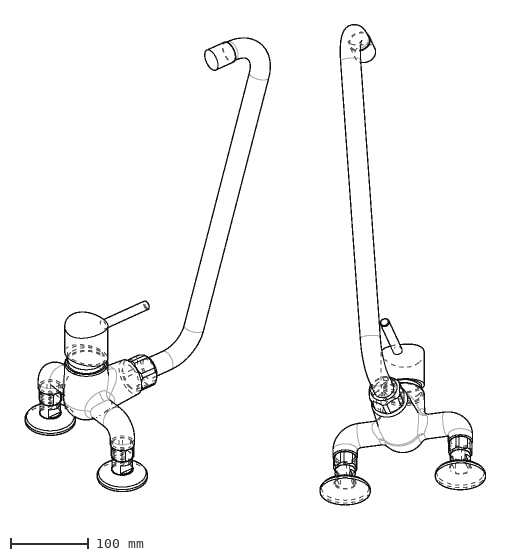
import cadquery as cq
import math

total_width = 218.0
total_depth = 328.0
total_height = 546.5
leg_spacing = 153.0
leg_x = leg_spacing / 2
arm_z = 82.5

foot_radius = (total_width - leg_spacing) / 2
foot_rim_height = 3.5
foot_edge_radius = 30.5
foot_edge_z = 6.0
foot_top_radius = 14.0
foot_top_z = 12.5
stem_radius = 13.0
stem_flat_x = 9.0
stem_flat_bottom_z = 14.0
stem_flat_top_z = 27.0
leg_nut_bottom_z = 33.0
leg_nut_top_z = 53.5
leg_nut_radius = 15.5
leg_nut_flat = 14.0
leg_nut_chamfer = 3.0
arm_radius = 16.0
elbow_bend_radius = 19.5
arm_end_x = leg_x - elbow_bend_radius

body_radius = 29.5
body_top_radius = 28.0
body_top_z = 138.5
body_top_chamfer = 1.5
collar_radius = 24.0
collar_top_z = 144.5
outlet_root_radius = 29.0
outlet_end_radius = 24.0
outlet_end_y = 71.5
outlet_fillet = 17.5
arm_fillet = 10.0

handle_radius = body_top_radius
handle_low_z = 142.5
handle_high_z = 156.5
handle_edge_z = 195.0
handle_crown_z = 200.0
lever_radius = 6.0
lever_z = 186.5
lever_tip_y = 98.5
lever_chamfer = 1.0

tube_radius = 13.0
tube_bend_radius = 46.0
lower_bend_y = 130.5
outlet_nut_end_y = 101.5
outlet_nut_radius = 22.0
outlet_nut_flat = 20.0
outlet_nut_chamfer = 4.5
aerator_radius = 14.0
aerator_tip_y = 203.0
aerator_length = 29.0
spout_top_z = total_height - aerator_radius
upper_bend_y = total_depth - foot_radius - tube_radius - tube_bend_radius


def cylinder_y(radius, start_y, end_y, z):
    """Solid cylinder along Y between two Y positions at the given height."""
    return (
        cq.Workplane("XZ", origin=(0, start_y, z))
        .circle(radius)
        .extrude(start_y - end_y)
    )


def nut(radius, flat, length, chamfer):
    """Round bar along Z with six flats, one facing +X, and chamfered ends."""
    bar = cq.Workplane("XY").circle(radius).extrude(length).faces("<Z or >Z").chamfer(chamfer)
    hexagon = (
        cq.Workplane("XY")
        .polygon(6, 2 * flat, circumscribed=True)
        .extrude(length)
    )
    return bar.intersect(hexagon)


def elbow():
    """Quarter bend from the end of the +X arm down to the top of the leg nut."""
    bend_z = arm_z - elbow_bend_radius
    middle = elbow_bend_radius * math.sqrt(0.5)
    path = (
        cq.Workplane("XZ")
        .moveTo(arm_end_x, arm_z)
        .threePointArc((arm_end_x + middle, bend_z + middle), (leg_x, bend_z))
        .lineTo(leg_x, leg_nut_top_z)
    )
    return cq.Workplane("YZ", origin=(arm_end_x, 0, arm_z)).circle(arm_radius).sweep(path)


def leg_base():
    """Foot, flatted stem and nut, centred on the Z axis."""
    foot = (
        cq.Workplane("XZ")
        .polyline([
            (0, 0),
            (foot_radius, 0),
            (foot_radius, foot_rim_height),
            (foot_edge_radius, foot_edge_z),
            (foot_top_radius, foot_top_z),
            (0, foot_top_z),
        ])
        .close()
        .revolve(360, (0, 0), (0, 1))
    )
    stem = (
        cq.Workplane("XY", origin=(0, 0, foot_top_z))
        .circle(stem_radius)
        .extrude(leg_nut_bottom_z - foot_top_z)
    )
    flat_height = stem_flat_top_z - stem_flat_bottom_z
    blank = 3 * stem_radius
    flat_cuts = (
        cq.Workplane("XY", origin=(0, 0, stem_flat_bottom_z))
        .rect(blank, blank)
        .rect(2 * stem_flat_x, blank)
        .extrude(flat_height)
    )
    leg_nut = nut(leg_nut_radius, leg_nut_flat, leg_nut_top_z - leg_nut_bottom_z, leg_nut_chamfer)
    return foot.union(stem.cut(flat_cuts)).union(leg_nut.translate((0, 0, leg_nut_bottom_z)))


def barrel():
    """Tapered upright barrel with a rounded bottom and a narrower collar on top."""
    middle = body_radius * math.sqrt(0.5)
    return (
        cq.Workplane("XZ")
        .moveTo(0, arm_z - body_radius)
        .threePointArc((middle, arm_z - middle), (body_radius, arm_z))
        .lineTo(body_top_radius, body_top_z - body_top_chamfer)
        .lineTo(body_top_radius - body_top_chamfer, body_top_z)
        .lineTo(collar_radius, body_top_z)
        .lineTo(collar_radius, collar_top_z)
        .lineTo(0, collar_top_z)
        .close()
        .revolve(360, (0, 0), (0, 1))
        .rotate((0, 0, 0), (0, 0, 1), -90)
    )


def outlet_cone():
    """Tapered outlet branch from the valve axis towards +Y."""
    return (
        cq.Workplane("YZ")
        .polyline([
            (0, 0),
            (0, outlet_root_radius),
            (outlet_end_y, outlet_end_radius),
            (outlet_end_y, 0),
        ])
        .close()
        .revolve(360, (0, 0), (1, 0))
        .translate((0, 0, arm_z))
    )


def straight_arms():
    """One bar along X that forms both arms."""
    return cq.Workplane("ZY", origin=(arm_end_x, 0, arm_z)).circle(arm_radius).extrude(2 * arm_end_x)


def intersection_edges(shape):
    """Curved edges, other than plain circles, where two round walls meet."""
    return [edge for edge in shape.edges().vals() if edge.geomType() == "BSPLINE"]


def lies_on_arm(edge):
    """True if both ends of the edge lie on the round wall of the arms."""
    tolerance = 0.05
    distances = [math.hypot(point.y, point.z - arm_z) for point in (edge.startPoint(), edge.endPoint())]
    return all(abs(distance - arm_radius) < tolerance for distance in distances)


def make_body():
    body = barrel().union(outlet_cone())
    body = body.newObject(intersection_edges(body)).fillet(outlet_fillet)

    body = body.union(straight_arms())
    arm_joints = [edge for edge in intersection_edges(body) if lies_on_arm(edge)]
    body = body.newObject(arm_joints).fillet(arm_fillet)

    right_elbow = elbow()
    body = body.union(right_elbow).union(right_elbow.mirror("YZ"))
    for x in (-leg_x, leg_x):
        body = body.union(leg_base().translate((x, 0, 0)))
    return body


def make_handle():
    outline = (
        cq.Workplane("YZ")
        .moveTo(-handle_radius, handle_high_z)
        .lineTo(handle_radius, handle_low_z)
        .lineTo(handle_radius, handle_edge_z)
        .threePointArc((0, handle_crown_z), (-handle_radius, handle_edge_z))
        .close()
        .extrude(handle_radius, both=True)
    )
    cap = cq.Workplane("XY").circle(handle_radius).extrude(handle_crown_z).intersect(outline)
    core = (
        cq.Workplane("XY", origin=(0, 0, collar_top_z))
        .circle(collar_radius)
        .extrude(handle_high_z - collar_top_z)
    )
    collar_recess = cq.Workplane("XY").circle(collar_radius).extrude(collar_top_z)
    lever = cylinder_y(lever_radius, 0, lever_tip_y, lever_z).faces(">Y").chamfer(lever_chamfer)
    return cap.union(core).cut(collar_recess).union(lever)


def spout_tube():
    """Level tube, bend up, long leaning run, then bend back to level towards -Y."""
    lower_centre = (lower_bend_y, arm_z + tube_bend_radius)
    upper_centre = (upper_bend_y, spout_top_z - tube_bend_radius)
    lean = math.atan2(upper_centre[0] - lower_centre[0], upper_centre[1] - lower_centre[1])

    def on_bend(centre, angle):
        return (
            centre[0] + tube_bend_radius * math.cos(angle),
            centre[1] + tube_bend_radius * math.sin(angle),
        )

    quarter = math.pi / 2
    path = (
        cq.Workplane("YZ")
        .moveTo(outlet_end_y, arm_z)
        .lineTo(lower_bend_y, arm_z)
        .threePointArc(on_bend(lower_centre, (-quarter - lean) / 2), on_bend(lower_centre, -lean))
        .lineTo(*on_bend(upper_centre, -lean))
        .threePointArc(on_bend(upper_centre, (quarter - lean) / 2), on_bend(upper_centre, quarter))
        .lineTo(aerator_tip_y, spout_top_z)
    )
    return cq.Workplane("XZ", origin=(0, outlet_end_y, arm_z)).circle(tube_radius).sweep(path)


def make_spout():
    outlet_nut = (
        nut(outlet_nut_radius, outlet_nut_flat, outlet_nut_end_y - outlet_end_y, outlet_nut_chamfer)
        .rotate((0, 0, 0), (1, 0, 0), -90)
        .translate((0, outlet_end_y, arm_z))
    )
    aerator = cylinder_y(aerator_radius, aerator_tip_y, aerator_tip_y + aerator_length, spout_top_z)
    return spout_tube().union(outlet_nut).union(aerator)


body = make_body()
handle = make_handle()
spout = make_spout()

result = cq.Compound.makeCompound([body.val(), handle.val(), spout.val()])